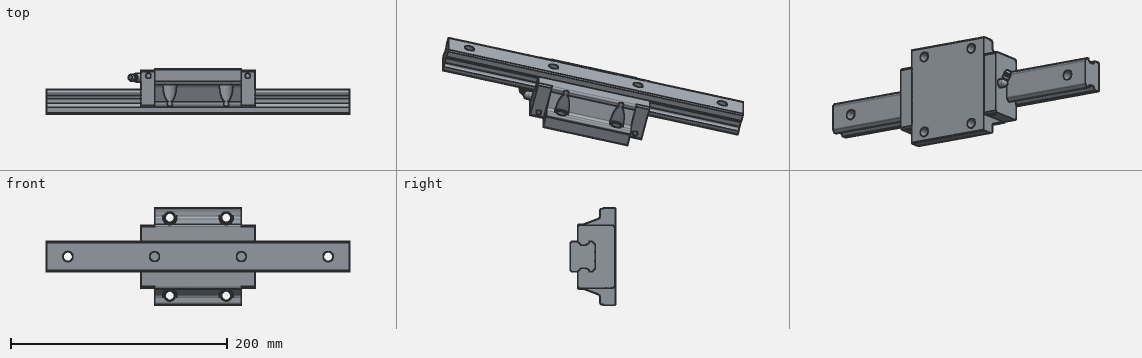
import cadquery as cq
import math


rail_length = 280.0
rail_half_width = 14.0
rail_height = 23.0
rail_seat_chamfer = 1.5
rail_head_chamfer = 2.8
rail_head_rounding = 1.0
waist_half_width = 10.5
waist_slope_start = 6.7
groove_radius = 2.8
groove_step = 14.5
groove_end = 17.5
rail_hole_pitch = 80.0
rail_hole_count = 4
rail_hole_diameter = 9.0

carriage_bottom = 6.7
block_length = 80.0
block_top = 42.0
block_top_chamfer = 0.8
overall_width = 90.0
flange_half_width = overall_width / 2
flange_underside = 27.5
flange_step_height = 30.5
body_half_width = 30.0
body_step_height = 11.8
flange_step_depth = 0.5
body_step_depth = 0.3
outer_edge_radius = 2.0
web_top_half_width = 35.5
web_fillet_radius = 3.0

mount_pitch_x = 52.0
mount_pitch_z = 72.0
mount_hole_diameter = 8.7
mount_hole_chamfer = 0.7
mount_spotface_diameter = 13.0

cap_span = 105.5
cap_top = 41.0
cap_half_width = 29.0
cap_chamfer = 1.7
port_pitch = 91.5
port_height = 35.5
port_diameter = 4.8
port_depth = 1.5

nipple_height = 34.0
nipple_tilt = 30.0
ball_radius = 8.0 / 2
neck_radius = 2.5
neck_end = 4.0
ball_offset = 3.5
collar_radius = 6.5 / 2
collar_end = 6.7
throat_radius = 2.2
throat_end = 7.8
head_shoulder = 9.5
tip_radius = 2.1
tip_end = 12.3


def bar_along_x(half_outline, length):
    """Extrude a (z, y) outline, given for +Z and mirrored to -Z, over a length centred on X = 0."""
    half = half_outline.close().extrude(length / 2, both=True)
    return half.union(half.mirror("XY"))


def side_sketch():
    """Workplane whose local axes are (Z, Y) and whose normal is -X."""
    return cq.Workplane(cq.Plane(origin=(0, 0, 0), xDir=(0, 0, 1), normal=(-1, 0, 0)))


def holes_along_y(points, diameter, y_start, y_end, taper=0):
    """Cylinders along Y at the given (x, z) points, or cones when tapered."""
    tools = cq.Workplane("XZ", origin=(0, y_start, 0)).pushPoints(points)
    return tools.circle(diameter / 2).extrude(y_start - y_end, taper=taper)


def make_rail_bar():
    """Rail section with a rounded ball groove on both sides."""
    waist_slope_end = waist_slope_start + rail_half_width - waist_half_width
    groove_floor = rail_half_width - groove_radius
    groove_start = groove_end - groove_radius
    arc_reach = groove_radius * math.sqrt(0.5)
    outline = (
        side_sketch()
        .moveTo(0, 0)
        .lineTo(rail_half_width - rail_seat_chamfer, 0)
        .lineTo(rail_half_width, rail_seat_chamfer)
        .lineTo(rail_half_width, waist_slope_start)
        .lineTo(waist_half_width, waist_slope_end)
        .lineTo(waist_half_width, groove_step)
        .lineTo(groove_floor, groove_step)
        .lineTo(groove_floor, groove_start)
        .threePointArc(
            (rail_half_width - arc_reach, groove_start + arc_reach),
            (rail_half_width, groove_end),
        )
        .lineTo(rail_half_width, rail_height - rail_head_chamfer)
        .lineTo(rail_half_width - rail_head_chamfer, rail_height)
        .lineTo(0, rail_height)
    )
    bar = bar_along_x(outline, rail_length)
    bar = bar.faces(">Y").edges("|X").fillet(rail_head_rounding)
    chamfer_foot = rail_height - rail_head_chamfer
    for side in (-1, 1):
        foot_edge = cq.selectors.NearestToPointSelector((0, chamfer_foot, side * rail_half_width))
        bar = bar.edges("|X").edges(foot_edge).fillet(rail_head_rounding)
    return bar


def make_rail():
    first_hole = -rail_hole_pitch * (rail_hole_count - 1) / 2
    points = [(first_hole + i * rail_hole_pitch, 0) for i in range(rail_hole_count)]
    return make_rail_bar().cut(holes_along_y(points, rail_hole_diameter, 0, rail_height))


def make_block():
    """Flanged centre block with spotfaced, chamfered mounting holes."""
    web_foot_half_width = body_half_width - body_step_depth
    web_run = web_top_half_width - web_foot_half_width
    web_rise = flange_underside - body_step_height
    web_angle = math.atan2(web_rise, web_run)
    fillet_tangent = web_fillet_radius * math.tan(web_angle / 2)
    fillet_start = (
        web_top_half_width - fillet_tangent * math.cos(web_angle),
        flange_underside - fillet_tangent * math.sin(web_angle),
    )
    countersink_diameter = mount_hole_diameter + 2 * mount_hole_chamfer
    countersink_end = flange_underside + mount_hole_chamfer
    lip_half_width = flange_half_width - flange_step_depth
    outline = (
        side_sketch()
        .moveTo(0, carriage_bottom)
        .lineTo(body_half_width - outer_edge_radius, carriage_bottom)
        .tangentArcPoint((body_half_width, carriage_bottom + outer_edge_radius), relative=False)
        .lineTo(body_half_width, body_step_height)
        .lineTo(web_foot_half_width, body_step_height)
        .lineTo(*fillet_start)
        .tangentArcPoint((web_top_half_width + fillet_tangent, flange_underside), relative=False)
        .lineTo(lip_half_width - outer_edge_radius, flange_underside)
        .tangentArcPoint((lip_half_width, flange_underside + outer_edge_radius), relative=False)
        .lineTo(lip_half_width, flange_step_height)
        .lineTo(flange_half_width, flange_step_height)
        .lineTo(flange_half_width, block_top - block_top_chamfer)
        .lineTo(flange_half_width - block_top_chamfer, block_top)
        .lineTo(0, block_top)
    )
    points = [(sx * mount_pitch_x / 2, sz * mount_pitch_z / 2) for sx in (-1, 1) for sz in (-1, 1)]
    spotfaces = holes_along_y(points, mount_spotface_diameter, carriage_bottom, flange_underside)
    holes = holes_along_y(points, mount_hole_diameter, flange_underside, block_top)
    countersinks = holes_along_y(points, countersink_diameter, flange_underside, countersink_end, taper=45)
    return bar_along_x(outline, block_length).cut(spotfaces).cut(holes).cut(countersinks)


def make_caps():
    """Both end caps as one bar; the block covers its middle."""
    caps = (
        cq.Workplane("XY")
        .box(cap_span, cap_top - carriage_bottom, 2 * cap_half_width)
        .edges("|X")
        .chamfer(cap_chamfer)
        .translate((0, (cap_top + carriage_bottom) / 2, 0))
    )
    ports = (
        cq.Workplane("XY", origin=(0, 0, cap_half_width - port_depth))
        .pushPoints([(-port_pitch / 2, port_height), (port_pitch / 2, port_height)])
        .circle(port_diameter / 2)
        .extrude(2 * port_depth)
    )
    return caps.cut(ports).cut(ports.mirror("XY"))


def make_carriage():
    return make_block().union(make_caps()).cut(make_rail_bar())


def make_nipple():
    """Elbow nipple: a stub on the -X cap face ends in a ball that carries a turned, leaning head."""
    ball_centre = (-cap_span / 2 - ball_offset, nipple_height, 0)
    head = (
        cq.Workplane("XZ")
        .lineTo(neck_radius, 0)
        .lineTo(neck_radius, neck_end)
        .lineTo(collar_radius, neck_end)
        .lineTo(collar_radius, collar_end)
        .lineTo(throat_radius, collar_end)
        .lineTo(throat_radius, throat_end)
        .lineTo(collar_radius, throat_end)
        .lineTo(collar_radius, head_shoulder)
        .lineTo(tip_radius, tip_end)
        .lineTo(0, tip_end)
        .close()
        .revolve(360, (0, 0, 0), (0, 1, 0))
        .rotate((0, 0, 0), (0, 1, 0), -nipple_tilt)
    )
    elbow = (
        cq.Workplane("XY")
        .moveTo(ball_offset, 0)
        .lineTo(ball_offset, ball_radius)
        .lineTo(0, ball_radius)
        .tangentArcPoint((-ball_radius, 0), relative=False)
        .close()
        .revolve(360, (0, 0, 0), (1, 0, 0))
    )
    return elbow.union(head).translate(ball_centre)


rail = make_rail()
carriage = make_carriage()
nipple = make_nipple()

result = cq.Compound.makeCompound([rail.val(), carriage.val(), nipple.val()])